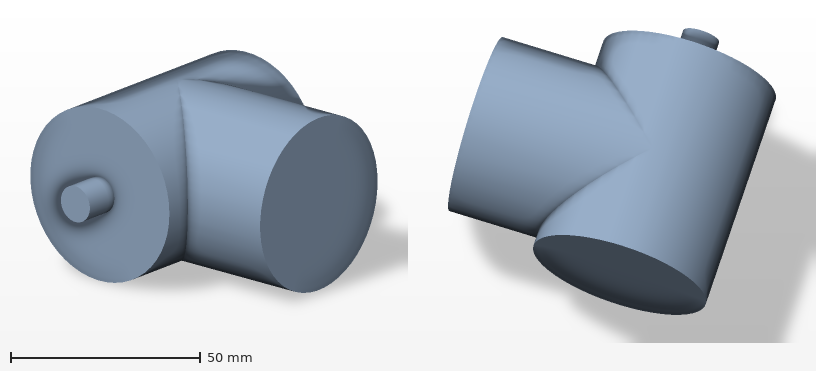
import cadquery as cq

overall_x = 73.0
pipe_diameter = 48.0
body_length = 60.0
branch_to_back = 28.5
pin_diameter = 10.0
pin_length = 10.0

pipe_radius = pipe_diameter / 2
branch_length = overall_x - pipe_radius
back_y = branch_to_back
front_y = back_y - body_length

body = cq.Workplane("XZ", origin=(0, back_y, 0)).circle(pipe_radius).extrude(body_length)

branch = cq.Workplane("YZ").circle(pipe_radius).extrude(branch_length)

pin = cq.Workplane("XZ", origin=(0, front_y, 0)).circle(pin_diameter / 2).extrude(pin_length)

result = body.union(branch).union(pin)